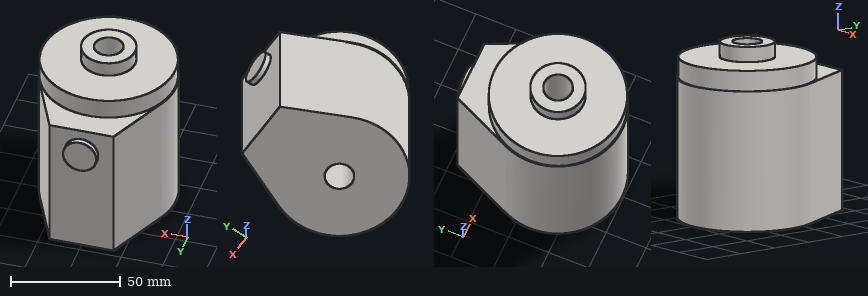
import cadquery as cq
import math

total_height = 82.52
body_diameter = 64.27
total_depth = 78.69

body_radius = body_diameter / 2
body_height = 65.8
port_length = 2.9
flat_y = total_depth - body_radius - port_length
flat_width = 30.6

cap_diameter = 63.5
cap_height = 9.6
collar_diameter = 25.4
collar_height = total_height - body_height - cap_height

bore_diameter = 13.5
sleeve_diameter = 15.9

port_diameter = 15.9
port_z = 53.1


def tangent_point(corner_x, corner_y, radius):
    """Point on the +X side of a circle at the origin where the line from the corner touches it."""
    corner_distance = math.hypot(corner_x, corner_y)
    angle = math.atan2(corner_y, corner_x) - math.acos(radius / corner_distance)
    return radius * math.cos(angle), radius * math.sin(angle)


def make_body():
    corner_x = flat_width / 2
    tangent_x, tangent_y = tangent_point(corner_x, flat_y, body_radius)
    return (
        cq.Workplane("XY")
        .moveTo(corner_x, flat_y)
        .lineTo(tangent_x, tangent_y)
        .threePointArc((0, -body_radius), (-tangent_x, tangent_y))
        .lineTo(-corner_x, flat_y)
        .close()
        .extrude(body_height)
    )


def make_disc(diameter, height, base_z):
    return cq.Workplane("XY").workplane(offset=base_z).circle(diameter / 2).extrude(height)


def make_port():
    return (
        cq.Workplane("XZ", origin=(0, flat_y, port_z))
        .circle(port_diameter / 2)
        .extrude(-port_length)
    )


def make_sleeve():
    bore = make_disc(bore_diameter, total_height, 0)
    return make_disc(sleeve_diameter, total_height, 0).cut(bore)


cap = make_disc(cap_diameter, cap_height, body_height)
collar = make_disc(collar_diameter, collar_height, body_height + cap_height)
sleeve_hole = make_disc(sleeve_diameter, total_height, 0)
housing = make_body().union(cap).union(collar).union(make_port()).cut(sleeve_hole)

result = housing.union(make_sleeve(), clean=False)